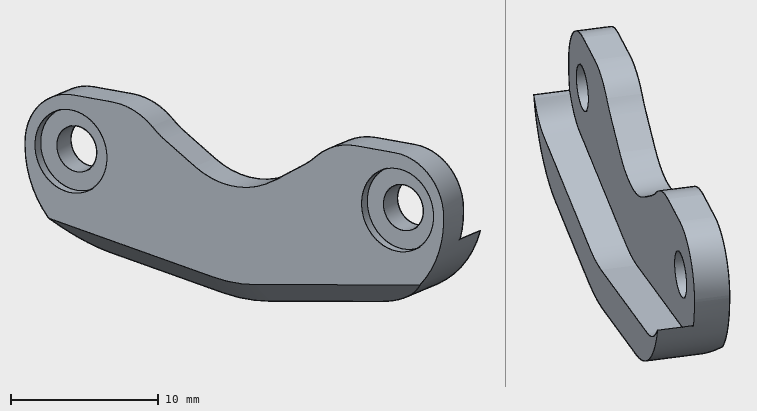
import cadquery as cq
import math

length = 33.95
plate_thickness = 2.48
total_depth = 5.0
top_z = 4.0
bottom_z = -8.72

hole_x = 13.25
hole_radius = 1.612
counterbore_radius = 2.92
counterbore_depth = 0.7

corner_radius = 3.95
corner_x = length / 2 - corner_radius
shoulder_x = 9.88
shoulder_radius = 4.85
shoulder_angle = 41.5
valley_z = -0.4
valley_radius = 6.05
valley_angle = 31.5
flank_end_x = 5.65

side_radius = 7.13
keel_radius = 12.55
keel_slope = 8.8
keel_center_z = bottom_z + keel_radius
chamfer_size = 1.53

clearance_radius = 3.87
clearance_x = 13.37
tip_bevel_x = 16.5

slope_sin = math.sin(math.radians(keel_slope))
slope_cos = math.cos(math.radians(keel_slope))
side_center_x = length / 2 - side_radius
side_center_z = keel_center_z + (side_radius - keel_radius + side_center_x * slope_sin) / slope_cos
rib_keel_radius = clearance_radius + keel_center_z * slope_cos + clearance_x * slope_sin
hole_points = [(-hole_x, 0), (hole_x, 0)]
clearance_points = [(-clearance_x, 0), (clearance_x, 0)]


def polar(center_x, center_z, radius, angle):
    """Point on a circle, with the angle in degrees from +X toward +Z."""
    turn = math.radians(angle)
    return (center_x + radius * math.cos(turn), center_z + radius * math.sin(turn))


def front_plane():
    """Sketch plane with X to the right and Z up; extruding by a negative length goes toward +Y."""
    return cq.Workplane("XZ")


def make_outline(depth):
    """Full silhouette, drawn as its +X half and mirrored."""
    valley_center_z = valley_z + valley_radius
    flank_start = polar(0, valley_center_z, valley_radius, -90 + valley_angle)
    flank_rise = (flank_end_x - flank_start[0]) * math.tan(math.radians(valley_angle))
    shoulder_center_z = top_z - shoulder_radius
    corner_center_z = top_z - corner_radius
    half = (
        front_plane()
        .moveTo(0, valley_z)
        .threePointArc(polar(0, valley_center_z, valley_radius, -90 + valley_angle / 2), flank_start)
        .lineTo(flank_end_x, flank_start[1] + flank_rise)
        .tangentArcPoint(
            polar(shoulder_x, shoulder_center_z, shoulder_radius, 90 + shoulder_angle), relative=False
        )
        .threePointArc(
            polar(shoulder_x, shoulder_center_z, shoulder_radius, 90 + shoulder_angle / 2),
            (shoulder_x, top_z),
        )
        .lineTo(corner_x, top_z)
        .threePointArc(
            polar(corner_x, corner_center_z, corner_radius, 45), (length / 2, corner_center_z)
        )
        .lineTo(length / 2, side_center_z)
        .threePointArc(
            polar(side_center_x, side_center_z, side_radius, -45),
            polar(side_center_x, side_center_z, side_radius, -90 + keel_slope),
        )
        .lineTo(*polar(0, keel_center_z, keel_radius, -90 + keel_slope))
        .threePointArc(polar(0, keel_center_z, keel_radius, -90 + keel_slope / 2), (0, bottom_z))
        .close()
        .extrude(-depth)
    )
    return half.union(half.mirror("YZ"))


def make_keel_space(inset, start_x, depth):
    """Solid above the lower edge raised by inset, with sloping sides that end at start_x."""
    radius = keel_radius - inset
    slope_start = polar(0, keel_center_z, radius, -90 + keel_slope)
    end_z = slope_start[1] + (start_x - slope_start[0]) * slope_sin / slope_cos
    return (
        front_plane()
        .moveTo(-start_x, length)
        .lineTo(-start_x, end_z)
        .lineTo(-slope_start[0], slope_start[1])
        .threePointArc((0, keel_center_z - radius), slope_start)
        .lineTo(start_x, end_z)
        .lineTo(start_x, length)
        .close()
        .extrude(-depth)
    )


def make_chamfered_space():
    """Space bounded below by the keel, with its lower front edge chamfered."""
    space = make_keel_space(0, length, total_depth)
    keel_edges = space.faces("<Y").edges().filter(lambda edge: edge.Center().z < 0)
    return keel_edges.chamfer(chamfer_size)


def make_rear_pocket():
    """Space behind the plate and above the rib."""
    rib_height = keel_radius - rib_keel_radius
    tangent_x = clearance_x + clearance_radius * slope_sin
    pocket_depth = total_depth - plate_thickness
    pocket = make_keel_space(rib_height, tangent_x, pocket_depth)
    hole_reliefs = (
        front_plane().pushPoints(clearance_points).circle(clearance_radius).extrude(-pocket_depth)
    )
    bevel_z = -math.sqrt(clearance_radius**2 - (tip_bevel_x - clearance_x) ** 2)
    side_run = length - tip_bevel_x
    side_space = (
        front_plane()
        .moveTo(-length, bevel_z + side_run)
        .lineTo(-tip_bevel_x, bevel_z)
        .lineTo(-clearance_x, 0)
        .lineTo(clearance_x, 0)
        .lineTo(tip_bevel_x, bevel_z)
        .lineTo(length, bevel_z + side_run)
        .close()
        .extrude(-pocket_depth)
    )
    pocket = pocket.union(hole_reliefs).union(side_space)
    return pocket.translate((0, plate_thickness, 0))


def make_screw_holes():
    """Through holes counterbored from the front face."""
    holes = front_plane().pushPoints(hole_points).circle(hole_radius).extrude(-total_depth)
    counterbores = (
        front_plane().pushPoints(hole_points).circle(counterbore_radius).extrude(-counterbore_depth)
    )
    return holes.union(counterbores)


body = make_outline(total_depth).intersect(make_chamfered_space())
result = body.cut(make_rear_pocket()).cut(make_screw_holes())